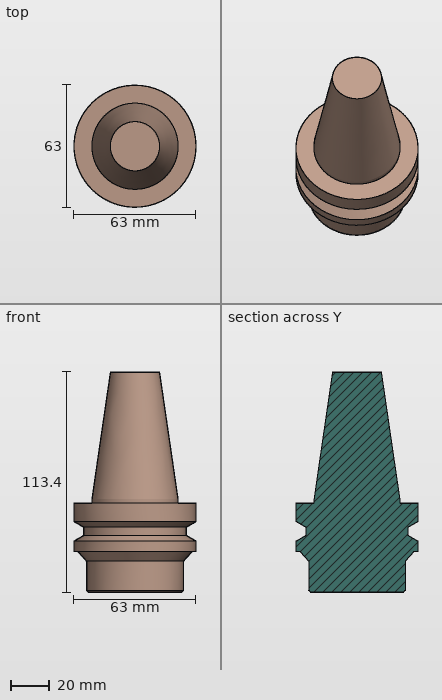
import cadquery as cq
import math

gauge_diameter = 44.45
taper_length = 65.4
taper_ratio = 7 / 24
taper_small_diameter = gauge_diameter - taper_length * taper_ratio

flange_diameter = 63.0
collar_height = 2.0
flange_height = 25.0
flange_top_z = -collar_height
flange_bottom_z = flange_top_z - flange_height

groove_floor_diameter = 53.0
groove_mouth_width = 10.0
groove_center_z = -16.6
groove_wall_angle = 30.0

nose_diameter = 50.0
nose_cone_diameter = 59.0
nose_cone_height = 5.0
body_length = 48.0
chamfer_size = 1.0

CUT_MARGIN = 1.0


def revolve_profile(points):
    """Revolve a closed (radius, height) outline about the Z axis."""
    return cq.Workplane("XZ").polyline(points).close().revolve(360, (0, 0, 0), (0, 1, 0))


def make_body():
    """Taper, collar, plain flange and nose as one turned shape."""
    nose_radius = nose_diameter / 2
    cone_radius = nose_cone_diameter / 2
    cone_bottom_z = flange_bottom_z - nose_cone_height
    nose_end_radius = nose_radius - chamfer_size
    return revolve_profile([
        (0, taper_length),
        (taper_small_diameter / 2, taper_length),
        (gauge_diameter / 2, 0),
        (gauge_diameter / 2, flange_top_z),
        (flange_diameter / 2, flange_top_z),
        (flange_diameter / 2, flange_bottom_z),
        (cone_radius, flange_bottom_z),
        (nose_radius, cone_bottom_z),
        (nose_radius, -body_length + chamfer_size),
        (nose_end_radius, -body_length),
        (0, -body_length),
    ])


def make_groove_cutter():
    """Ring with sloped walls that opens the V-groove in the flange rim."""
    floor_radius = groove_floor_diameter / 2
    rim_radius = flange_diameter / 2
    outer_radius = rim_radius + CUT_MARGIN
    slope = math.tan(math.radians(groove_wall_angle))
    floor_half_width = groove_mouth_width / 2 - (rim_radius - floor_radius) * slope
    outer_half_width = groove_mouth_width / 2 + CUT_MARGIN * slope
    return revolve_profile([
        (floor_radius, groove_center_z + floor_half_width),
        (outer_radius, groove_center_z + outer_half_width),
        (outer_radius, groove_center_z - outer_half_width),
        (floor_radius, groove_center_z - floor_half_width),
    ])


result = make_body().cut(make_groove_cutter())